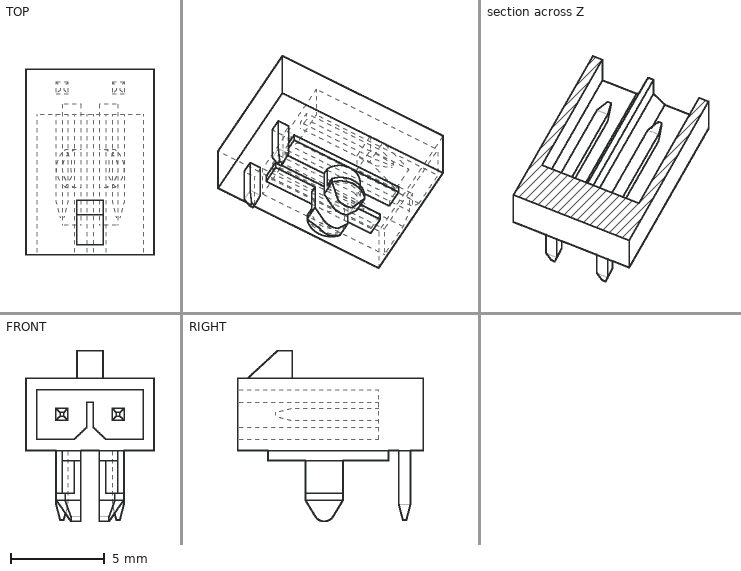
import cadquery as cq


housing_width = 6.85
housing_length = 9.91
housing_height = 3.87

cavity_width = 5.70
cavity_height = 2.65
cavity_depth = 7.5
cavity_floor = (housing_height - cavity_height) / 2
cavity_top = cavity_floor + cavity_height
rib_thickness = 0.33
rib_top = 2.58
rib_foot_width = 1.67
rib_foot_top = 1.25

latch_width = 1.40
latch_height = 1.47
latch_front = 0.54
latch_crest_front = 2.14
latch_back = 2.92

contact_pitch = 3.0
contact_size = 0.64
point_size = 0.20
point_length = 0.86
contact_height = housing_height / 2
contact_tip_y = 2.0
tail_y = 8.91
tail_drop = 3.71

rail_inner_x = 0.483
rail_outer_x = 1.485
rail_drop = 0.53
rail_front = 1.61
rail_length = 6.45

peg_y = 4.62
peg_half_depth = 1.01
peg_drop = 3.78
neck_flat_x = 0.834
neck_bottom = -2.27
barb_radius = 1.32
barb_tip_radius = 0.54
barb_bottom = -2.64
nose_start = -3.50
nose_half_depth = 0.49


def make_housing():
    """Rectangular shell with the keyed cavity open at the mating face."""
    shell = cq.Workplane("XY").box(
        housing_width, housing_length, housing_height, centered=(True, False, False)
    )
    half_cavity = cavity_width / 2
    half_rib = rib_thickness / 2
    half_foot = rib_foot_width / 2
    cavity = (
        cq.Workplane("XZ")
        .moveTo(-half_cavity, cavity_floor)
        .lineTo(-half_foot, cavity_floor)
        .lineTo(-half_rib, rib_foot_top)
        .lineTo(-half_rib, rib_top)
        .lineTo(half_rib, rib_top)
        .lineTo(half_rib, rib_foot_top)
        .lineTo(half_foot, cavity_floor)
        .lineTo(half_cavity, cavity_floor)
        .lineTo(half_cavity, cavity_top)
        .lineTo(-half_cavity, cavity_top)
        .close()
        .extrude(-cavity_depth)
    )
    return shell.cut(cavity)


def make_latch():
    """Ramp rising from the front to a flat crest with a vertical back."""
    crest = housing_height + latch_height
    return (
        cq.Workplane("YZ")
        .moveTo(latch_front, housing_height)
        .lineTo(latch_crest_front, crest)
        .lineTo(latch_back, crest)
        .lineTo(latch_back, housing_height)
        .close()
        .extrude(latch_width / 2, both=True)
    )


def make_pointed_wire(start, direction, length):
    """Square wire from start along direction, ending in a blunt pyramid point."""
    plane = cq.Plane(origin=start, xDir=(1, 0, 0), normal=direction)
    shank = cq.Workplane(plane).rect(contact_size, contact_size).extrude(length - point_length)
    point = (
        cq.Workplane(plane)
        .workplane(offset=length - point_length)
        .rect(contact_size, contact_size)
        .workplane(offset=point_length)
        .rect(point_size, point_size)
        .loft(combine=True)
    )
    return shank.union(point)


def make_contact(x):
    """Right-angle contact: mating pin forward, solder tail down."""
    half_size = contact_size / 2
    pin_root_y = tail_y + half_size
    tail_root_z = contact_height + half_size
    pin = make_pointed_wire((x, pin_root_y, contact_height), (0, -1, 0), pin_root_y - contact_tip_y)
    tail = make_pointed_wire((x, tail_y, tail_root_z), (0, 0, -1), tail_root_z + tail_drop)
    return pin.union(tail)


def make_rail():
    """Standoff rail on the +X side."""
    return (
        cq.Workplane("XY")
        .box(rail_outer_x - rail_inner_x, rail_length, rail_drop, centered=False)
        .translate((rail_inner_x, rail_front, -rail_drop))
    )


def make_neck():
    """Peg neck on the +X side: flat front and back, rounded outside."""
    return (
        cq.Workplane("XY", origin=(0, peg_y, -rail_drop))
        .moveTo(rail_inner_x, -peg_half_depth)
        .lineTo(neck_flat_x, -peg_half_depth)
        .threePointArc((rail_outer_x, 0), (neck_flat_x, peg_half_depth))
        .lineTo(rail_inner_x, peg_half_depth)
        .close()
        .extrude(neck_bottom + rail_drop)
    )


def make_barb():
    """Peg barb on the +X side: a turned cone trimmed to a round-nosed side profile."""
    turned = (
        cq.Workplane("XZ", origin=(rail_inner_x, peg_y, 0))
        .moveTo(0, neck_bottom)
        .lineTo(barb_radius, neck_bottom)
        .lineTo(barb_radius, barb_bottom)
        .lineTo(barb_tip_radius, -peg_drop)
        .lineTo(0, -peg_drop)
        .close()
        .revolve(360, (0, 0, 0), (0, 1, 0))
    )
    profile = (
        cq.Workplane("YZ", origin=(rail_inner_x, peg_y, 0))
        .moveTo(-peg_half_depth, neck_bottom)
        .lineTo(-peg_half_depth, barb_bottom)
        .lineTo(-nose_half_depth, nose_start)
        .threePointArc((0, -peg_drop), (nose_half_depth, nose_start))
        .lineTo(peg_half_depth, barb_bottom)
        .lineTo(peg_half_depth, neck_bottom)
        .close()
        .extrude(barb_radius)
    )
    return turned.intersect(profile)


mount = make_rail().union(make_neck()).union(make_barb())

result = make_housing().union(make_latch())
for half in (mount, mount.mirror("YZ")):
    result = result.union(half)
for side in (-1, 1):
    result = result.union(make_contact(side * contact_pitch / 2))